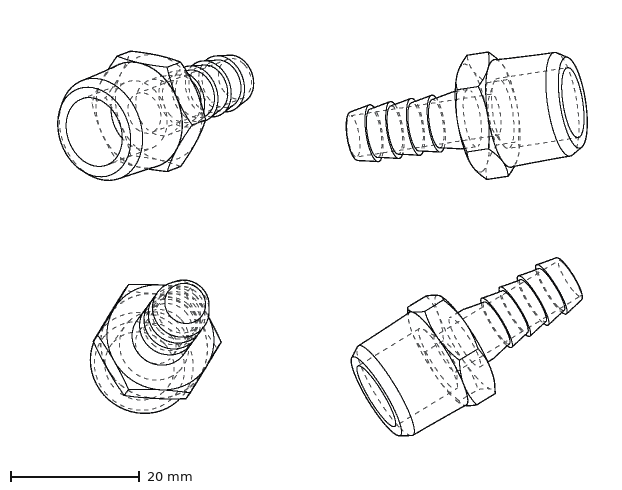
import cadquery as cq
import math

thread_chamfer_length = 1.73
hex_start = 11.5
hex_end = 16.5
barbs_start = 19.0
total_length = 36.0

thread_end_radius = 7.15
thread_small_radius = 8.17
thread_large_radius = 8.45

across_flats = 17.0
across_corners = across_flats / math.cos(math.radians(30))
hex_chamfer_angle = 30.0

barb_count = 5
barb_radius = 4.5
barb_root_radius = 3.8
tip_fillet = 0.32

thread_bore_radius = 5.5
hose_bore_radius = 3.25
thread_bore_depth = 11.5
drill_half_angle = 59.0


def revolve_profile(points):
    """Revolve (radius, y) points about the Y axis."""
    return cq.Workplane("XY").polyline(points).close().revolve(360, (0, 0, 0), (0, 1, 0))


def make_threaded_end():
    return revolve_profile([
        (0, 0),
        (thread_end_radius, 0),
        (thread_small_radius, thread_chamfer_length),
        (thread_large_radius, hex_start),
        (0, hex_start),
    ])


def make_hexagon():
    width = hex_end - hex_start
    prism = (
        cq.Workplane("XZ", origin=(0, hex_end, 0))
        .polygon(6, across_corners)
        .extrude(width)
    )
    flat_radius = across_flats / 2
    corner_radius = across_corners / 2
    bevel = (corner_radius - flat_radius) * math.tan(math.radians(hex_chamfer_angle))
    envelope = revolve_profile([
        (0, hex_start),
        (flat_radius, hex_start),
        (corner_radius, hex_start + bevel),
        (corner_radius, hex_end - bevel),
        (flat_radius, hex_end),
        (0, hex_end),
    ])
    return prism.intersect(envelope)


def make_barbed_stem():
    pitch = (total_length - barbs_start) / barb_count
    points = [(0, hex_end), (barb_radius, hex_end)]
    for index in range(barb_count):
        barb_start = barbs_start + index * pitch
        points.append((barb_radius, barb_start))
        points.append((barb_root_radius, barb_start + pitch))
    points.append((0, total_length))
    return revolve_profile(points).faces(">Y").edges().fillet(tip_fillet)


def make_bore():
    cone_length = (thread_bore_radius - hose_bore_radius) / math.tan(math.radians(drill_half_angle))
    return revolve_profile([
        (0, 0),
        (thread_bore_radius, 0),
        (thread_bore_radius, thread_bore_depth),
        (hose_bore_radius, thread_bore_depth + cone_length),
        (hose_bore_radius, total_length),
        (0, total_length),
    ])


body = make_threaded_end().union(make_hexagon()).union(make_barbed_stem()).cut(make_bore())

result = body.translate((0, -total_length / 2, 0))